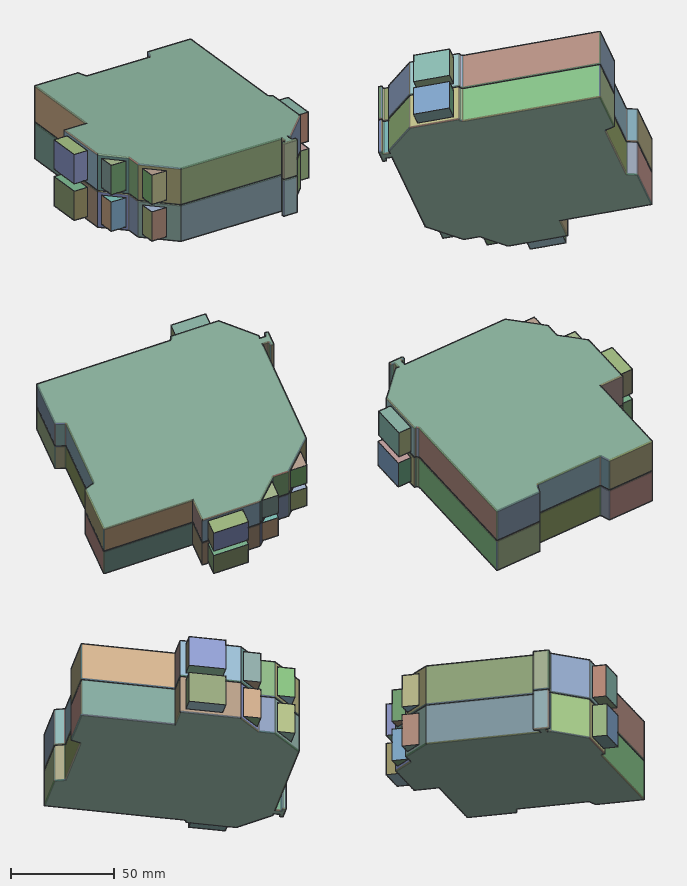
import cadquery as cq
import math

module_height = 20.0
corner_radius = 0.5
rim_radius = 0.5
match_tolerance = 0.01

depth = 110.0
width = 104.0
rear_low_y = 12.5
rear_high_y = 102.0
low_step_x = 46.0
high_step_x = 70.0
high_step_chamfer = 1.0
front_slope = 15.0
front_edge_x = depth - front_slope
ledge_y = 11.0
low_slope_start_x = 76.0

notch_depth = 5.0
notch_low_y = 37.5
notch_high_y = 77.2
notch_taper = 1.8

latch_y = 85.5
latch_reach = 5.0
latch_stem_width = 4.0
latch_head_width = 8.0
latch_head_thickness = 2.0

terminal_height = 16.0
terminal_length = 18.0
low_terminal_x = 49.0
low_terminal_reach = 7.5
high_terminal_x = 73.0
high_terminal_reaches = (7.3, 6.9)
terminal_embed = 1.0

slope_terminal_size = 10.0
slope_terminal_lift = 1.5
low_slope_terminal_end_x = 86.0
high_slope_terminal_end_x = 105.0


def is_at_corner(edge, corners):
    """Whether an upright edge stands on one of the given (x, y) corners."""
    center = edge.Center()
    return any(math.dist((center.x, center.y), corner) < match_tolerance for corner in corners)


def make_housing():
    """One module body, latch included, with rounded corners and rounded rims."""
    latch_end_x = depth + latch_reach
    head_x = latch_end_x - latch_head_thickness
    stem_low_y = latch_y - latch_stem_width / 2
    stem_high_y = latch_y + latch_stem_width / 2
    head_low_y = latch_y - latch_head_width / 2
    head_high_y = latch_y + latch_head_width / 2
    outline = [
        (0, rear_low_y),
        (low_step_x, rear_low_y),
        (low_step_x, 0),
        (low_slope_start_x, 0),
        (low_slope_start_x + ledge_y, ledge_y),
        (front_edge_x, ledge_y),
        (depth, ledge_y + front_slope),
        (depth, stem_low_y),
        (head_x, stem_low_y),
        (head_x, head_low_y),
        (latch_end_x, head_low_y),
        (latch_end_x, head_high_y),
        (head_x, head_high_y),
        (head_x, stem_high_y),
        (depth, stem_high_y),
        (depth, width - front_slope),
        (front_edge_x, width),
        (high_step_x, width),
        (high_step_x, rear_high_y + high_step_chamfer),
        (high_step_x - high_step_chamfer, rear_high_y),
        (0, rear_high_y),
        (0, notch_high_y),
        (notch_depth, notch_high_y - notch_taper),
        (notch_depth, notch_low_y + notch_taper),
        (0, notch_low_y),
    ]
    sharp_corners = [
        (low_step_x, rear_low_y),
        (low_step_x, 0),
        (low_slope_start_x, 0),
        (depth, ledge_y + front_slope),
        (depth, stem_low_y),
        (depth, stem_high_y),
    ]
    body = cq.Workplane("XY").polyline(outline).close().extrude(module_height)
    upright_edges = body.edges("|Z")
    rounded_edges = upright_edges.filter(lambda edge: not is_at_corner(edge, sharp_corners))
    body = rounded_edges.fillet(corner_radius)
    return body.faces("|Z").edges().fillet(rim_radius)


def make_block(x_min, y_min, x_size, y_size):
    """Terminal block centred in the module height."""
    block = cq.Workplane("XY").box(x_size, y_size, terminal_height, centered=False)
    return block.translate((x_min, y_min, (module_height - terminal_height) / 2))


def make_slope_block(end_x, slope_low_y):
    """Square terminal block half sunk into a slope that starts at slope_low_y."""
    return make_block(
        end_x - slope_terminal_size,
        slope_low_y + slope_terminal_lift,
        slope_terminal_size,
        slope_terminal_size,
    )


def make_module(high_terminal_reach):
    """Housing with its four terminal blocks, standing on Z = 0."""
    low_block = make_block(
        low_terminal_x, -low_terminal_reach, terminal_length, low_terminal_reach + terminal_embed
    )
    high_block = make_block(
        high_terminal_x, width - terminal_embed, terminal_length, high_terminal_reach + terminal_embed
    )
    module = make_housing().union(low_block).union(high_block)
    module = module.union(make_slope_block(low_slope_terminal_end_x, 0))
    return module.union(make_slope_block(high_slope_terminal_end_x, ledge_y))


lower_reach, upper_reach = high_terminal_reaches
lower_module = make_module(lower_reach)
upper_module = make_module(upper_reach).translate((0, 0, module_height))
result = lower_module.union(upper_module)